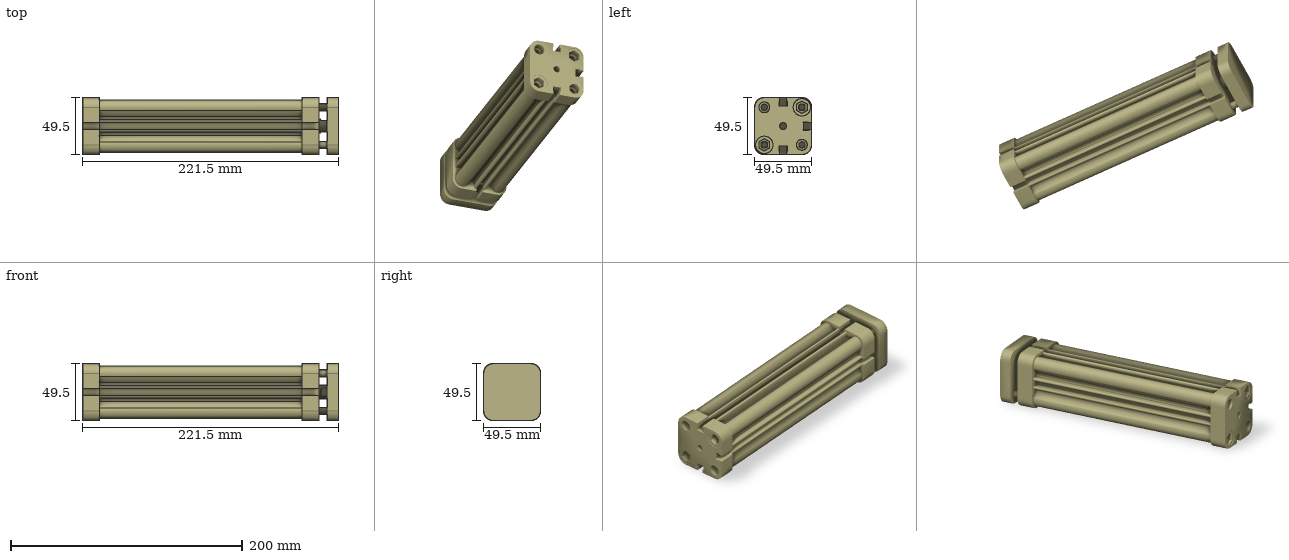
import cadquery as cq
import math


body_length = 204.5
cap_length = 14.5
plate_gap = 7.0
plate_thickness = 10.0
plate_start = body_length + plate_gap

cap_width = 49.5
half_cap = cap_width / 2
corner_center = 16.25
corner_radius = half_cap - corner_center

tube_length = body_length - 2 * cap_length
tube_inset = 2.0
half_tube = half_cap - tube_inset
lobe_radius = half_tube - corner_center
lobe_edge = 13.67
lobe_edge_height = corner_center + math.sqrt(lobe_radius**2 - (corner_center - lobe_edge) ** 2)
valley_edge = 8.2
valley_height = lobe_edge_height - (lobe_edge - valley_edge)
lip_wall = 5.05
lip_outer_radius = 1.3
lip_ledge_width = 0.6
lip_foot_radius = 1.25

slot_width = 6.0
slot_inner_width = 7.4
slot_neck_depth = 3.3
slot_depth = 7.3
slot_floor = half_cap - slot_depth
tube_slot_deepening = 1.5
tube_slot_floor = slot_floor - tube_slot_deepening

recess_diameter = 9.4
recess_depth = 6.0
thread_diameter = 5.4
center_hole_diameter = 6.0
center_hole_depth = 10.0

plug_diameter = 15.0
plug_recess = 0.5
hex_across_flats = 9.3

rod_diameter = 12.0
rod_across_flats = 10.0
rod_flat_start = 206.3
rod_flat_ramp = 0.6
rod_chamfer = 0.6
guide_diameter = 6.2

guide_places = [(-corner_center, corner_center), (corner_center, -corner_center)]
hole_places = [(corner_center, corner_center), (-corner_center, -corner_center)]


def section_plane(x):
    """Plane across the stroke axis, with local axes along Y and Z."""
    return cq.Workplane("YZ", origin=(x, 0, 0))


def rods(places, diameter, start, end):
    """Round bars along X at the given (Y, Z) places."""
    return section_plane(start).pushPoints(places).circle(diameter / 2).extrude(end - start)


def square_block(start, length):
    """Square block with rounded edges along X."""
    block = section_plane(start).rect(cap_width, cap_width).extrude(length)
    return block.edges("|X").fillet(corner_radius)


def cap_slot(start):
    """T-shaped sensor slot through a cap on its +Z side."""
    neck_bottom = half_cap - slot_neck_depth
    inner_height = neck_bottom - slot_floor
    neck = section_plane(start).center(0, neck_bottom + slot_neck_depth / 2)
    neck = neck.rect(slot_width, slot_neck_depth).extrude(cap_length)
    inner = section_plane(start).center(0, slot_floor + inner_height / 2)
    inner = inner.rect(slot_inner_width, inner_height).extrude(cap_length)
    return neck.union(inner)


def make_cap(start):
    """End cap with sensor slots on the +Z, -Y and -Z sides."""
    cap = square_block(start, cap_length)
    for angle in (0, 90, 180):
        cap = cap.cut(cap_slot(start).rotate((0, 0, 0), (1, 0, 0), angle))
    return cap


def tube_eighth():
    """Eighth of the profile tube, from the middle of the +Z slot to the middle of the next lobe."""
    half_slot = slot_width / 2
    peak_y = lip_wall - lip_outer_radius
    lip_inner_radius = peak_y - half_slot
    ledge_y = lip_wall + lip_ledge_width
    ledge_z = valley_height + lip_foot_radius
    foot_bulge = lip_foot_radius * (1 - math.sqrt(0.5))
    foot_middle = (ledge_y + foot_bulge, valley_height + foot_bulge)
    lobe_tip = corner_center + lobe_radius * math.sqrt(0.5)
    return (
        section_plane(cap_length)
        .moveTo(0, 0)
        .lineTo(0, tube_slot_floor)
        .lineTo(half_slot, tube_slot_floor)
        .lineTo(half_slot, half_tube - lip_inner_radius)
        .tangentArcPoint((peak_y, half_tube), relative=False)
        .tangentArcPoint((lip_wall, half_tube - lip_outer_radius), relative=False)
        .lineTo(lip_wall, ledge_z)
        .lineTo(ledge_y, ledge_z)
        .threePointArc(foot_middle, (ledge_y + lip_foot_radius, valley_height))
        .lineTo(valley_edge, valley_height)
        .lineTo(lobe_edge, lobe_edge_height)
        .threePointArc((corner_center, half_tube), (lobe_tip, lobe_tip))
        .close()
        .extrude(tube_length)
    )


def make_tube():
    """Profile tube: four round corner lobes with a lipped sensor slot on every side."""
    eighth = tube_eighth()
    quarter = eighth.union(eighth.mirror("XZ"))
    tube = quarter
    for turn in (1, 2, 3):
        tube = tube.union(quarter.rotate((0, 0, 0), (1, 0, 0), 90 * turn))
    return tube


def make_housing():
    """Tube with both caps, the rod and guide bores and the rear holes."""
    housing = make_tube()
    for start in (0, body_length - cap_length):
        housing = housing.union(make_cap(start))
    housing = housing.cut(rods([(0, 0)], rod_diameter, cap_length, body_length))
    housing = housing.cut(rods(guide_places, guide_diameter, cap_length, body_length))
    housing = housing.cut(rods(guide_places, plug_diameter, 0, cap_length))
    housing = housing.cut(rods(hole_places, recess_diameter, 0, recess_depth))
    housing = housing.cut(rods(hole_places, thread_diameter, 0, cap_length))
    return housing.cut(rods([(0, 0)], center_hole_diameter, 0, center_hole_depth))


def make_plug(place):
    """Plug filling a guide corner of the rear cap, with a hexagon socket and a through hole."""
    plug = rods([place], plug_diameter, plug_recess, cap_length)
    hex_corner_diameter = hex_across_flats / math.cos(math.pi / 6)
    socket = cq.Workplane("XY").polygon(6, hex_corner_diameter).extrude(recess_depth)
    socket = socket.rotate((0, 0, 0), (0, 1, 0), 90)
    socket = socket.translate((0, *place))
    return plug.cut(socket).cut(rods([place], thread_diameter, 0, cap_length))


def make_piston_rod():
    """Rod ending at the guide plate, with two wrench flats that start in a ramp."""
    rod = rods([(0, 0)], rod_diameter, cap_length, plate_start)
    rod = rod.faces(">X").chamfer(rod_chamfer)
    flat_y = rod_across_flats / 2
    rim_y = rod_diameter / 2
    for side in (-1, 1):
        flat = (
            cq.Workplane("XY")
            .moveTo(rod_flat_start, side * flat_y)
            .lineTo(plate_start, side * flat_y)
            .lineTo(plate_start, side * rim_y)
            .lineTo(rod_flat_start - rod_flat_ramp, side * rim_y)
            .close()
            .extrude(rod_diameter / 2, both=True)
        )
        rod = rod.cut(flat)
    return rod


def make_guide_plate():
    """Front plate together with its two guide rods."""
    plate = square_block(plate_start, plate_thickness)
    return plate.union(rods(guide_places, guide_diameter, cap_length, plate_start))


housing = make_housing()
plugs = [make_plug(place) for place in guide_places]
piston_rod = make_piston_rod()
guide_plate = make_guide_plate()

result = cq.Compound.makeCompound(
    [
        housing.val(),
        *[plug.val() for plug in plugs],
        piston_rod.val(),
        guide_plate.val(),
    ]
)